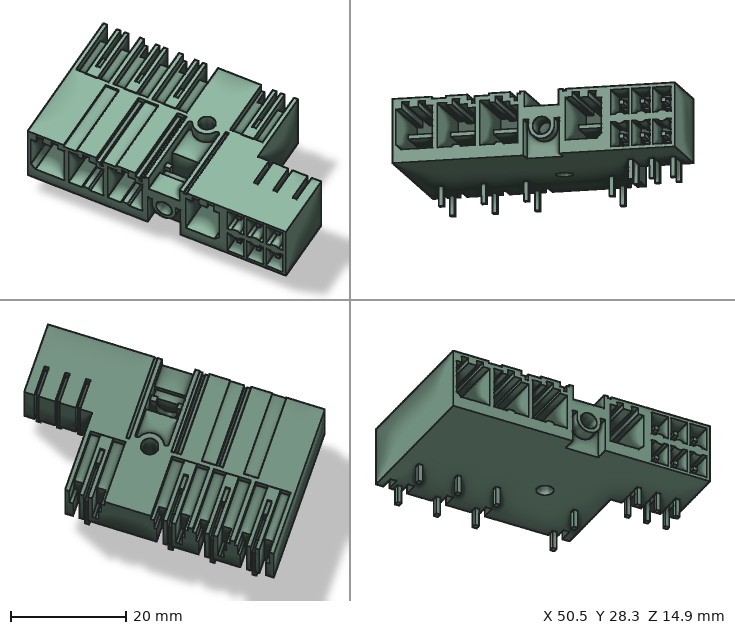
import cadquery as cq
import math


LENGTH = 50.5
DEPTH = 28.3
HEIGHT = 11.4
POWER_LENGTH = 38.1
SIGNAL_DEPTH = 13.25
LEG_DROP = 3.5
OVERLAP = 0.15

POWER_PITCH = 7.65
FIRST_POWER_X = 3.8
OUTER_LEFT_X, LEFT_X, SCREW_X, OUTER_RIGHT_X = [FIRST_POWER_X + i * POWER_PITCH for i in (0, 1, 3, 4)]
RIGHT_X = LEFT_X + POWER_PITCH
POWER_XS = (OUTER_LEFT_X, LEFT_X, RIGHT_X, OUTER_RIGHT_X)
MIRROR_X = (OUTER_LEFT_X + OUTER_RIGHT_X) / 2

SOCKET_DEPTH = 14.65
SOCKET_FLOOR = 2.3
SOCKET_HALF = 3.4
OUTER_HALF = 3.15
SOCKET_CHAMFER = 0.9
KEY_TOP = 10.75
KEY_BASE = 9.75
INNER_SHOULDER = 9.9
LOW_SHOULDER = 9.55
OUTER_KEYS = ((-2.1, -0.8), (0.85, 2.05))
INNER_KEY = (-0.65, 0.6)
INNER_STEP_LEFT = -1.7
INNER_STEP_RIGHT = 1.95
SIDE_SHOULDER = 9.05
HIGH_SHOULDER = 10.2
RIB_HEIGHT = 0.35
RIB_TOP_HALF = 0.5
RIB_BASE_HALF = 0.85

BLADE_WIDTH = 4.45
BLADE_BOTTOM = 5.3
BLADE_THICK = 0.75
BLADE_TIP = 5.05
POWER_LEG_PITCH = POWER_PITCH
POWER_LEG = 0.95
CONTACT_THICK = 0.8
CONTACT_REAR_GAP = 0.65
CONTACT_LOW_TOP = 7.05
CONTACT_MID_TOP = 8.1
CONTACT_HIGH_TOP = 10.7
CONTACT_RAMP = 2.15
CONTACT_STEP = 6.7

POCKET_LENGTH = 11.7
POCKET_DEPTH = 1.55
POCKET_END_HALF = 3.0
PIER_HALF = 1.15
PIER_DROP = 0.15
NOTCH_LENGTH = 2.7
NOTCH_HALF = 2.8
NOTCH_FLOOR = 6.05
DROP_HALF = 2.3
LEDGE_Z = 2.5
TROUGH_RADIUS = 0.3

GROOVE_LENGTH = 15.75
GROOVE_DEPTH = 0.35
GROOVE_WIDTH = 2.6
FIRST_GROOVE_X = 7.0
NARROW_GROOVE_X = 30.5
NARROW_GROOVE_WIDTH = 0.55
STEP_OFFSET = 2.0
STEP_WIDTH = 0.75
CHANNEL_WIDTH = 0.5
STEP_DEPTH = 0.85
CHANNEL_DEPTH = 1.55

SCREW_Z = 5.15
SCREW_RECESS_WIDTH = 6.4
SCREW_RECESS_TOP = 6.35
SCREW_RECESS_DEPTH = 2.5
BOSS_RADIUS = 2.3
SCREW_HOLE_RADIUS = 1.55
SCREW_RADIUS = 1.25
SCREW_TIP = 3.55
CAVITY_WIDTH = 6.05
CAVITY_EAR_RADIUS = 0.43
FRONT_SHELF = 8.7
REAR_SHELF = 9.25
PIT_FRONT = 4.2
PIT_REAR = 8.9
PIT_FLOOR = 2.3
NUT_WIDTH = 5.45
NUT_FRONT = 4.35
NUT_REAR = 5.85
NUT_TOP = 7.85
YOKE_REAR = 6.85
YOKE_TOP = FRONT_SHELF
YOKE_NOTCH_RADIUS = 1.85
POST_Y = 16.05
POST_RADIUS = 2.5
POST_HOLE_RADIUS = 1.5

SIGNAL_PITCH = 3.8
MID_SIGNAL_X = 44.45
SIGNAL_XS = [MID_SIGNAL_X + i * SIGNAL_PITCH for i in (-1, 0, 1)]
SIGNAL_WIDTH = 3.25
SIGNAL_SOCKET_HEIGHT = 4.4
SIGNAL_SOCKET_DEPTH = 6.55
UPPER_FLOOR = 6.35
LOWER_FLOOR = 0.65
UPPER_PIN_Z = 8.75
LOWER_PIN_Z = 2.7
BUMP_HALF = 0.85
BUMP_HEIGHT = 0.35
PIN = 0.8
PIN_TIP = 1.2
COLLAR_RADIUS = 1.1
COLLAR_LENGTH = 2.0
COLLAR_CHAMFER = 0.25
SIGNAL_SLOT_LENGTH = 5.65
SIGNAL_LEG_GAP = 1.0


def box(x, y, z):
    """Block spanning the given (low, high) pairs."""
    size = (x[1] - x[0], y[1] - y[0], z[1] - z[0])
    return cq.Workplane("XY").box(*size, centered=False).translate((x[0], y[0], z[0]))


def centred(x, width):
    return (x - width / 2, x + width / 2)


def from_front(points, start, end):
    """Prism along Y from an XZ outline."""
    return cq.Workplane("XZ", origin=(0, start, 0)).polyline(points).close().extrude(start - end)


def rod(x, z, radius, start, end):
    """Cylinder along Y."""
    return cq.Workplane("XZ", origin=(x, start, z)).circle(radius).extrude(start - end)


def post(radius, bottom, top):
    """Upright cylinder on the axis of the mounting hole."""
    return cq.Workplane("XY", origin=(SCREW_X, POST_Y, bottom)).circle(radius).extrude(top - bottom)


def housing():
    power = box((0, POWER_LENGTH), (0, DEPTH), (0, HEIGHT))
    return power.union(box((0, LENGTH), (0, SIGNAL_DEPTH), (0, HEIGHT)))


def outer_socket():
    """Socket at the left end of the power row, with two keyways and one bevelled corner."""
    left_key, right_key = OUTER_KEYS
    outline = [
        (-OUTER_HALF + SOCKET_CHAMFER, SOCKET_FLOOR),
        (SOCKET_HALF, SOCKET_FLOOR),
        (SOCKET_HALF, INNER_SHOULDER),
        (right_key[1], INNER_SHOULDER),
        (right_key[1], KEY_TOP),
        (right_key[0], KEY_TOP),
        (right_key[0], KEY_BASE),
        (left_key[1], KEY_BASE),
        (left_key[1], KEY_TOP),
        (left_key[0], KEY_TOP),
        (left_key[0], LOW_SHOULDER),
        (-OUTER_HALF, LOW_SHOULDER),
        (-OUTER_HALF, SOCKET_FLOOR + SOCKET_CHAMFER),
    ]
    return from_front([(OUTER_LEFT_X + x, z) for x, z in outline], 0, SOCKET_DEPTH)


def inner_socket(centre):
    """Socket with a central keyway, stepped shoulders and a rib along its floor."""
    outline = [
        (-SOCKET_HALF, SOCKET_FLOOR),
        (-RIB_BASE_HALF, SOCKET_FLOOR),
        (-RIB_TOP_HALF, SOCKET_FLOOR + RIB_HEIGHT),
        (RIB_TOP_HALF, SOCKET_FLOOR + RIB_HEIGHT),
        (RIB_BASE_HALF, SOCKET_FLOOR),
        (SOCKET_HALF, SOCKET_FLOOR),
        (SOCKET_HALF, SIDE_SHOULDER),
        (INNER_STEP_RIGHT, SIDE_SHOULDER),
        (INNER_STEP_RIGHT, KEY_BASE),
        (INNER_KEY[1], KEY_BASE),
        (INNER_KEY[1], KEY_TOP),
        (INNER_KEY[0], KEY_TOP),
        (INNER_KEY[0], KEY_BASE),
        (INNER_STEP_LEFT, KEY_BASE),
        (INNER_STEP_LEFT, HIGH_SHOULDER),
        (-SOCKET_HALF, HIGH_SHOULDER),
    ]
    return from_front([(centre + x, z) for x, z in outline], 0, SOCKET_DEPTH)


def power_sockets():
    left_end = outer_socket()
    right_end = left_end.mirror("YZ", (MIRROR_X, 0, 0))
    return left_end.union(right_end).union(inner_socket(LEFT_X)).union(inner_socket(RIGHT_X))


def notch_reach(pocket_half):
    """A notch is narrower than a full pocket but fills a pocket at the end of the row."""
    return pocket_half if pocket_half == POCKET_END_HALF else NOTCH_HALF


def rear_relief(centre, left_half, right_half, closed_left):
    """Shallow pocket on both sides of a slotted pier, with deeper notches at the rear.

    The right notch opens through the bottom; a closed left one ends in a trough and a ledge.
    """
    pocket = (DEPTH - POCKET_LENGTH, DEPTH)
    notch = (DEPTH - NOTCH_LENGTH, DEPTH)
    relief = box((centre - left_half, centre + right_half), pocket, (HEIGHT - POCKET_DEPTH, HEIGHT))
    notch_width = (centre - notch_reach(left_half), centre + notch_reach(right_half))
    relief = relief.union(box(notch_width, notch, (NOTCH_FLOOR, HEIGHT)))

    relief = relief.union(box((centre, centre + DROP_HALF), notch, (0, HEIGHT)))
    left_bottom = LEDGE_Z if closed_left else 0
    relief = relief.union(box((centre - DROP_HALF, centre), notch, (left_bottom, HEIGHT)))
    if closed_left:
        trough_x = centre - DROP_HALF + TROUGH_RADIUS
        relief = relief.union(rod(trough_x, LEDGE_Z, TROUGH_RADIUS, *notch))

    relief = relief.cut(box(centred(centre, 2 * PIER_HALF), pocket, (0, HEIGHT - PIER_DROP)))
    slot_front = DEPTH - CONTACT_REAR_GAP - POWER_LEG_PITCH - POWER_LEG
    return relief.union(box(centred(centre, CONTACT_THICK), (slot_front, DEPTH), (0, HEIGHT)))


def rear_reliefs():
    reliefs = rear_relief(OUTER_LEFT_X, POCKET_END_HALF, SOCKET_HALF, False)
    reliefs = reliefs.union(rear_relief(OUTER_RIGHT_X, SOCKET_HALF, POCKET_END_HALF, True))
    for centre in (LEFT_X, RIGHT_X):
        reliefs = reliefs.union(rear_relief(centre, SOCKET_HALF, SOCKET_HALF, True))
    return reliefs


def groove(left, width, depth):
    return box((left, left + width), (0, GROOVE_LENGTH), (HEIGHT - depth, HEIGHT))


def coding_grooves():
    """Shallow strips, and a stepped channel over the right shoulder of each inner socket."""
    grooves = groove(FIRST_GROOVE_X, GROOVE_WIDTH, GROOVE_DEPTH)
    grooves = grooves.union(groove(NARROW_GROOVE_X, NARROW_GROOVE_WIDTH, GROOVE_DEPTH))
    for centre, strip_width in ((LEFT_X, GROOVE_WIDTH), (RIGHT_X, CHANNEL_WIDTH)):
        step_left = centre + STEP_OFFSET
        channel_left = step_left + STEP_WIDTH
        grooves = grooves.union(groove(step_left, STEP_WIDTH, STEP_DEPTH))
        grooves = grooves.union(groove(channel_left, CHANNEL_WIDTH, CHANNEL_DEPTH))
        grooves = grooves.union(groove(channel_left + CHANNEL_WIDTH, strip_width, GROOVE_DEPTH))
    return grooves


def screw_recess():
    """Front recess around a boss with a rounded underside."""
    recess = box(centred(SCREW_X, SCREW_RECESS_WIDTH), (0, SCREW_RECESS_DEPTH), (0, SCREW_RECESS_TOP))
    boss = rod(SCREW_X, SCREW_Z, BOSS_RADIUS, 0, SCREW_RECESS_DEPTH)
    boss = boss.union(box(centred(SCREW_X, 2 * BOSS_RADIUS), (0, SCREW_RECESS_DEPTH), (SCREW_Z, HEIGHT)))
    return recess.cut(boss)


def screw_hole():
    return rod(SCREW_X, SCREW_Z, SCREW_HOLE_RADIUS, 0, PIT_FRONT)


def screw_cavity():
    """Stepped cavity in the top that ends at the round post and holds the nut pit."""
    width = centred(SCREW_X, CAVITY_WIDTH)
    shelf = (REAR_SHELF, HEIGHT)
    ear_offset = CAVITY_WIDTH / 2 - CAVITY_EAR_RADIUS
    centre_distance = POST_RADIUS + CAVITY_EAR_RADIUS
    ear_setback = math.sqrt(centre_distance ** 2 - ear_offset ** 2)
    ear_y = POST_Y - ear_setback
    tangent_y = ear_y + CAVITY_EAR_RADIUS * ear_setback / centre_distance

    cavity = box(width, (0, ear_y), shelf)
    cavity = cavity.union(box(centred(SCREW_X, 2 * ear_offset), (0, tangent_y), shelf))
    cavity = cavity.cut(post(POST_RADIUS, 0, HEIGHT))
    for ear_x in (SCREW_X - ear_offset, SCREW_X + ear_offset):
        ear = cq.Workplane("XY", origin=(ear_x, ear_y, REAR_SHELF)).circle(CAVITY_EAR_RADIUS)
        cavity = cavity.union(ear.extrude(HEIGHT - REAR_SHELF))
    cavity = cavity.union(box(width, (0, PIT_FRONT), (FRONT_SHELF, HEIGHT)))
    return cavity.union(box(width, (PIT_FRONT, PIT_REAR), (PIT_FLOOR, HEIGHT)))


def screw_nut_and_yoke():
    """Nut block with the screw end in front of it and a U-shaped yoke behind it."""
    width = centred(SCREW_X, NUT_WIDTH)
    bottom = PIT_FLOOR - OVERLAP
    nut = box(width, (NUT_FRONT, NUT_REAR), (bottom, NUT_TOP))
    yoke = box(centred(SCREW_X, CAVITY_WIDTH), (NUT_REAR, YOKE_REAR), (bottom, YOKE_TOP))
    notch = rod(SCREW_X, SCREW_Z, YOKE_NOTCH_RADIUS, NUT_REAR, YOKE_REAR)
    notch_width = centred(SCREW_X, 2 * YOKE_NOTCH_RADIUS)
    notch = notch.union(box(notch_width, (NUT_REAR, YOKE_REAR), (SCREW_Z, YOKE_TOP)))
    screw = rod(SCREW_X, SCREW_Z, SCREW_RADIUS, SCREW_TIP, NUT_REAR)
    return nut.union(yoke.cut(notch)).union(screw)


def signal_socket(centre, floor, bump_base, bump_rise):
    """Rectangular socket with a rounded bump along the wall shared by both rows."""
    socket = box(
        centred(centre, SIGNAL_WIDTH), (0, SIGNAL_SOCKET_DEPTH), (floor, floor + SIGNAL_SOCKET_HEIGHT)
    )
    bump = (
        cq.Workplane("XZ")
        .moveTo(centre - BUMP_HALF, bump_base)
        .threePointArc((centre, bump_base + bump_rise), (centre + BUMP_HALF, bump_base))
        .close()
        .extrude(-SIGNAL_SOCKET_DEPTH)
    )
    return socket.cut(bump)


def signal_slot(centre):
    rear = (SIGNAL_DEPTH - SIGNAL_SLOT_LENGTH, SIGNAL_DEPTH)
    return box(centred(centre, PIN), rear, (0, HEIGHT))


def signal_pin(centre, height, leg_rear):
    """Square pin bent down into a solder leg, seated in a round collar."""
    side = centred(centre, PIN)
    pin = box(side, (PIN_TIP, leg_rear), centred(height, PIN))
    pin = pin.union(box(side, (leg_rear - PIN, leg_rear), (-LEG_DROP, height + PIN / 2)))
    collar = rod(
        centre, height, COLLAR_RADIUS, SIGNAL_SOCKET_DEPTH - COLLAR_LENGTH, SIGNAL_SOCKET_DEPTH + OVERLAP
    )
    return pin.union(collar.faces("<Y").chamfer(COLLAR_CHAMFER))


def power_contact(centre):
    """Flat blade on an upright plate that fills the rear slot and carries two legs."""
    rear = DEPTH - CONTACT_REAR_GAP
    front = rear - POWER_LEG_PITCH - POWER_LEG
    outline = [
        (rear, 0),
        (rear, CONTACT_LOW_TOP),
        (rear - CONTACT_RAMP, CONTACT_MID_TOP),
        (DEPTH - CONTACT_STEP, CONTACT_MID_TOP),
        (DEPTH - CONTACT_STEP, CONTACT_HIGH_TOP),
        (front, CONTACT_HIGH_TOP),
        (front, 0),
    ]
    thickness = centred(centre, CONTACT_THICK)
    plate = cq.Workplane("YZ", origin=(thickness[0], 0, 0)).polyline(outline).close()
    contact = plate.extrude(CONTACT_THICK)
    for leg_rear in (rear, rear - POWER_LEG_PITCH):
        contact = contact.union(box(thickness, (leg_rear - POWER_LEG, leg_rear), (-LEG_DROP, OVERLAP)))
    blade_height = (BLADE_BOTTOM, BLADE_BOTTOM + BLADE_THICK)
    return contact.union(box(centred(centre, BLADE_WIDTH), (BLADE_TIP, front), blade_height))


result = housing()
for cutter in (
    power_sockets(),
    rear_reliefs(),
    coding_grooves(),
    screw_recess(),
    screw_hole(),
    screw_cavity(),
    post(POST_HOLE_RADIUS, 0, HEIGHT),
):
    result = result.cut(cutter)
result = result.union(screw_nut_and_yoke())

for centre in POWER_XS:
    result = result.union(power_contact(centre))

lower_top = LOWER_FLOOR + SIGNAL_SOCKET_HEIGHT
upper_leg_rear = SIGNAL_DEPTH - SIGNAL_LEG_GAP
for centre in SIGNAL_XS:
    result = result.cut(signal_socket(centre, UPPER_FLOOR, UPPER_FLOOR, BUMP_HEIGHT))
    result = result.cut(signal_socket(centre, LOWER_FLOOR, lower_top, -BUMP_HEIGHT))
    result = result.cut(signal_slot(centre))
    result = result.union(signal_pin(centre, UPPER_PIN_Z, upper_leg_rear))
    result = result.union(signal_pin(centre, LOWER_PIN_Z, upper_leg_rear - SIGNAL_PITCH))